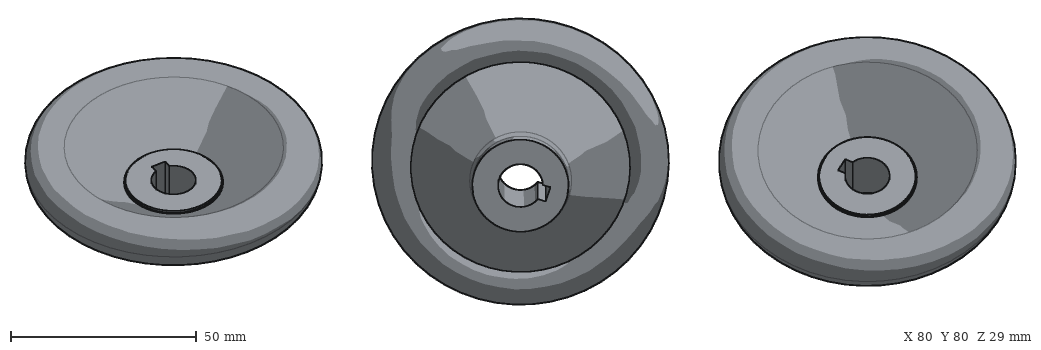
import cadquery as cq
import math

outer_radius = 40.0
rim_tube_radius = 6.5
total_height = 29.0
rim_center_radius = outer_radius - rim_tube_radius
rim_center_height = total_height - rim_tube_radius

hub_radius = 13.0
hub_top_height = 16.0
bore_radius = 6.0
key_reach = 7.8
key_width = 4.2

dish_join_radius = 29.5
dish_inner_foot_radius = 13.4
dish_inner_foot_height = 15.3
dish_outer_foot_height = 4.3
foot_fillet = 2.0


def rim_height_offset(radius):
    """Height of the ring's surface above its center at a given radius."""
    return math.sqrt(rim_tube_radius**2 - (radius - rim_center_radius) ** 2)


def make_rim():
    return (
        cq.Workplane("XZ")
        .center(rim_center_radius, rim_center_height)
        .circle(rim_tube_radius)
        .revolve(360, (-rim_center_radius, 0), (-rim_center_radius, 1))
    )


def make_hub_and_dish():
    join_offset = rim_height_offset(dish_join_radius)
    inner_top_height = rim_center_height + join_offset
    outer_top_height = rim_center_height - join_offset
    body = (
        cq.Workplane("XZ")
        .moveTo(0, 0)
        .lineTo(hub_radius, 0)
        .lineTo(hub_radius, dish_outer_foot_height)
        .lineTo(dish_join_radius, outer_top_height)
        .lineTo(rim_center_radius, rim_center_height)
        .lineTo(dish_join_radius, inner_top_height)
        .lineTo(dish_inner_foot_radius, dish_inner_foot_height)
        .lineTo(hub_radius, dish_inner_foot_height)
        .lineTo(hub_radius, hub_top_height)
        .lineTo(0, hub_top_height)
        .close()
        .revolve(360, (0, 0), (0, 1))
    )
    foot_point = (0, hub_radius, dish_outer_foot_height)
    return body.edges(cq.selectors.NearestToPointSelector(foot_point)).fillet(foot_fillet)


def make_keyed_bore():
    bore = cq.Workplane("XY").circle(bore_radius).extrude(hub_top_height)
    keyway = (
        cq.Workplane("XY")
        .center(-key_reach / 2, 0)
        .rect(key_reach, key_width)
        .extrude(hub_top_height)
    )
    return bore.union(keyway)


result = make_hub_and_dish().union(make_rim()).cut(make_keyed_bore())